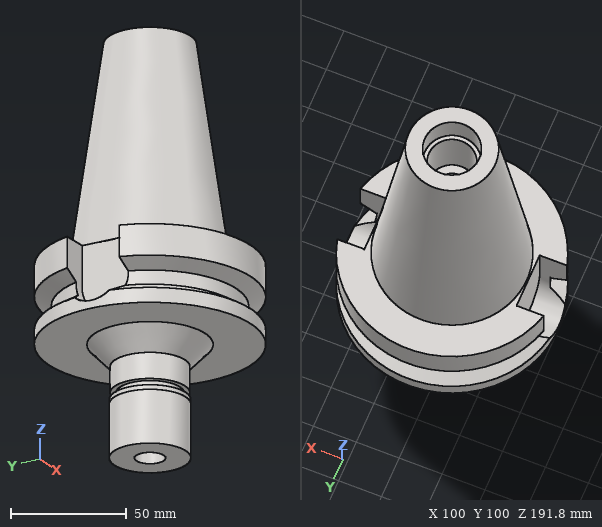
import cadquery as cq

total_height = 191.8

taper_top_radius = 20.1
gauge_radius = 35.0
gauge_height = 90.1

flange_diameter = 100.0
flange_radius = flange_diameter / 2
flange_top = 89.0
flange_bottom = 52.5
groove_root_radius = 42.5
groove_lower_edge = 59.5
groove_lower_root = 63.9
groove_upper_root = 70.4
groove_upper_edge = 74.5

slot_half_width = 13.0
slot_floor_x = 35.5
slot_bottom = 56.2

cone_top_radius = 27.2
neck_radius = 17.3
neck_top = 42.2
neck_bottom = 30.1
stem_radius = 14.8
collar_top = 27.0

nut_radius = 17.6
nut_top = 25.0

drawbar_bore_radius = 12.7
drawbar_bore_depth = 13.0
thread_bore_radius = 10.7
thread_bore_depth = 38.4
through_radius = 6.7


def revolve_profile(points):
    """Turn a closed (radius, z) outline around the Z axis."""
    return cq.Workplane("XZ").polyline(points).close().revolve(360, (0, 0, 0), (0, 1, 0))


def cylinder(radius, bottom, top):
    return cq.Workplane("XY").workplane(offset=bottom).circle(radius).extrude(top - bottom)


def drive_slot(side):
    """Cutter for the round-ended slot on the +X (side = 1) or -X (side = -1) flank."""
    arc_height = slot_bottom + slot_half_width
    outline = (
        cq.Workplane("YZ")
        .workplane(offset=side * slot_floor_x)
        .moveTo(-slot_half_width, total_height)
        .lineTo(-slot_half_width, arc_height)
        .threePointArc((0, slot_bottom), (slot_half_width, arc_height))
        .lineTo(slot_half_width, total_height)
        .close()
    )
    return outline.extrude(side * flange_radius)


def make_holder():
    body = revolve_profile([
        (0, nut_top),
        (nut_radius, nut_top),
        (nut_radius, collar_top),
        (stem_radius, collar_top),
        (stem_radius, neck_bottom),
        (neck_radius, neck_bottom),
        (neck_radius, neck_top),
        (cone_top_radius, flange_bottom),
        (flange_radius, flange_bottom),
        (flange_radius, groove_lower_edge),
        (groove_root_radius, groove_lower_root),
        (groove_root_radius, groove_upper_root),
        (flange_radius, groove_upper_edge),
        (flange_radius, flange_top),
        (gauge_radius, flange_top),
        (gauge_radius, gauge_height),
        (taper_top_radius, total_height),
        (0, total_height),
    ])
    for side in (-1, 1):
        body = body.cut(drive_slot(side))
    body = body.cut(cylinder(drawbar_bore_radius, total_height - drawbar_bore_depth, total_height))
    body = body.cut(cylinder(thread_bore_radius, total_height - thread_bore_depth, total_height))
    return body.cut(cylinder(through_radius, nut_top, total_height))


def make_nut():
    """Plain sleeve against the lower face of the holder."""
    return cylinder(nut_radius, 0, nut_top).cut(cylinder(through_radius, 0, nut_top))


holder = make_holder()
nut = make_nut()

result = cq.Compound.makeCompound([holder.val(), nut.val()])